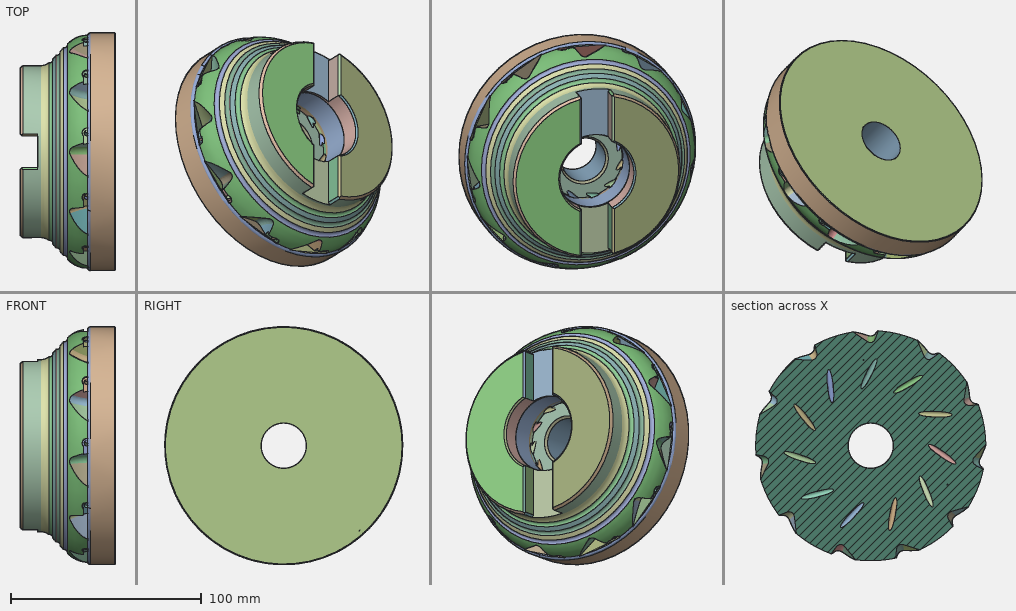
import cadquery as cq
import math

HEIGHT = 50.04
CUTTER_RADIUS = 62.5

HUB_RADIUS = 45.2
HUB_CHAMFER_LENGTH = 1.5
HUB_CHAMFER_DEPTH = 1.2
HUB_LENGTH = 11.0
FLARE_END_X = 15.1
FLARE_END_RADIUS = 46.7
FLARE_SAG = 0.35

GROOVE_COUNT = 3
GROOVE_LIP = 0.5
GROOVE_LENGTH = 1.5
GROOVE_RISE = 1.9
GROOVE_SAG = 0.55
LAND_LENGTH = 1.85
LAND_RISE = 2.05

SHOULDER_RADIUS = 61.3
SHOULDER_SAG = 1.15

RING_X = 35.4
RING_EDGE_LENGTH = 1.6
RING_FRONT_CHAMFER = 0.4

BORE_RADIUS = 20.0
BORE_CHAMFER = 0.9
BORE_RELIEF_X = 10.6
BORE_RELIEF_RADIUS = 20.15
BORE_FLARE_X = 24.2
BORE_FLARE_LENGTH = 1.8
BORE_END_RADIUS = 20.5
BORE_DEPTH = 28.0
THROUGH_RADIUS = 11.8
THROUGH_CHAMFER = 1.2

SLOT_WIDTH = 16.4
SLOT_DEPTH = 9.2
SLOT_CHAMFER = 1.1

POCKET_COUNT = 11
POCKET_PITCH = 360 / POCKET_COUNT
POCKET_TIP_X = 25.3
POCKET_ROOT_OFFSET = 1.1
POCKET_ROOT_HEIGHT = 56.7
POCKET_ROOT_FILLET = 2.7
POCKET_DIVE = 40.0
POCKET_PATH_RADIUS = 28.0
POCKET_WALL_LEAN = 23.0
POCKET_FLOOR_SLOPE = 30.0
POCKET_REACH = 20.0
POCKET_ROOF_HEIGHT = 60.5
POCKET_ROOF_ANGLE = 60.0

SEAT_X = 33.2
SEAT_OFFSET = 9.9
SEAT_INNER_OFFSET = 3.5
SEAT_FLOOR_HEIGHT = 59.2
SEAT_RELIEF_RADIUS = 2.5
SEAT_RELIEF_X = 35.1

COOLANT_RADIUS = 1.4
COOLANT_ENTRY_X = 27.2
COOLANT_ENTRY_ANGLE = -36.0
COOLANT_ENTRY_RADIUS = 20.0
COOLANT_OVERRUN = 8.0


def sagged_point(start, end, sag):
    """Point beside the middle of a chord; a positive sag lies on its left."""
    dx = end[0] - start[0]
    dy = end[1] - start[1]
    chord = math.hypot(dx, dy)
    middle_x = (start[0] + end[0]) / 2
    middle_y = (start[1] + end[1]) / 2
    return (middle_x - sag * dy / chord, middle_y + sag * dx / chord)


def arc_to(profile, start, end, sag):
    return profile.threePointArc(sagged_point(start, end, sag), end)


def make_body():
    """Solid of revolution: hub, grooved flare, rounded shoulder and cutting ring."""
    hub_end = (HUB_LENGTH, HUB_RADIUS)
    point = (FLARE_END_X, FLARE_END_RADIUS)
    profile = (
        cq.Workplane("XY")
        .moveTo(0, 0)
        .lineTo(0, HUB_RADIUS - HUB_CHAMFER_DEPTH)
        .lineTo(HUB_CHAMFER_LENGTH, HUB_RADIUS)
        .lineTo(*hub_end)
    )
    profile = arc_to(profile, hub_end, point, -FLARE_SAG)

    for index in range(GROOVE_COUNT):
        groove_start = (point[0] + GROOVE_LIP, point[1])
        groove_end = (groove_start[0] + GROOVE_LENGTH, groove_start[1] + GROOVE_RISE)
        profile = arc_to(profile.lineTo(*groove_start), groove_start, groove_end, -GROOVE_SAG)
        point = groove_end
        if index < GROOVE_COUNT - 1:
            point = (point[0] + LAND_LENGTH, point[1] + LAND_RISE)
            profile = profile.lineTo(*point)

    shoulder_end = (RING_X, SHOULDER_RADIUS)
    profile = arc_to(profile, point, shoulder_end, SHOULDER_SAG)

    rim_start = (RING_X + RING_EDGE_LENGTH, CUTTER_RADIUS)
    edge_rise = CUTTER_RADIUS - SHOULDER_RADIUS
    edge_chord = math.hypot(RING_EDGE_LENGTH, edge_rise)
    edge_sag = edge_chord / 2 * math.tan(math.atan2(edge_rise, RING_EDGE_LENGTH) / 2)
    profile = arc_to(profile, shoulder_end, rim_start, edge_sag)
    return (
        profile.lineTo(HEIGHT - RING_FRONT_CHAMFER, CUTTER_RADIUS)
        .lineTo(HEIGHT, CUTTER_RADIUS - RING_FRONT_CHAMFER)
        .lineTo(HEIGHT, 0)
        .close()
        .revolve(360, (0, 0, 0), (1, 0, 0))
    )


def make_bore():
    """Relieved bore with a chamfered mouth, stepping down to the through hole."""
    return (
        cq.Workplane("XY")
        .moveTo(0, 0)
        .lineTo(0, BORE_RADIUS + BORE_CHAMFER)
        .lineTo(BORE_CHAMFER, BORE_RADIUS)
        .lineTo(BORE_RELIEF_X, BORE_RADIUS)
        .lineTo(BORE_RELIEF_X, BORE_RELIEF_RADIUS)
        .lineTo(BORE_FLARE_X, BORE_RELIEF_RADIUS)
        .lineTo(BORE_FLARE_X + BORE_FLARE_LENGTH, BORE_END_RADIUS)
        .lineTo(BORE_DEPTH, BORE_END_RADIUS)
        .lineTo(BORE_DEPTH, THROUGH_RADIUS + THROUGH_CHAMFER)
        .lineTo(BORE_DEPTH + THROUGH_CHAMFER, THROUGH_RADIUS)
        .lineTo(HEIGHT, THROUGH_RADIUS)
        .lineTo(HEIGHT, 0)
        .close()
        .revolve(360, (0, 0, 0), (1, 0, 0))
    )


def make_slot():
    half_width = SLOT_WIDTH / 2
    return (
        cq.Workplane("XY")
        .moveTo(0, half_width + SLOT_CHAMFER)
        .lineTo(SLOT_CHAMFER, half_width)
        .lineTo(SLOT_DEPTH, half_width)
        .lineTo(SLOT_DEPTH, -half_width)
        .lineTo(SLOT_CHAMFER, -half_width)
        .lineTo(0, -half_width - SLOT_CHAMFER)
        .close()
        .extrude(CUTTER_RADIUS, both=True)
    )


def make_slot_mouth():
    """Bevels on the corners where the slot walls run out through the hub side."""
    half_width = SLOT_WIDTH / 2
    hub_corner_z = math.sqrt(HUB_RADIUS**2 - (half_width + SLOT_CHAMFER) ** 2)
    inner_z = hub_corner_z - SLOT_CHAMFER
    bevel_rise = CUTTER_RADIUS - inner_z
    mouth = (
        cq.Workplane("YZ")
        .moveTo(half_width, inner_z)
        .lineTo(half_width + bevel_rise, CUTTER_RADIUS)
        .lineTo(-half_width - bevel_rise, CUTTER_RADIUS)
        .lineTo(-half_width, inner_z)
        .close()
        .extrude(SLOT_DEPTH)
    )
    return mouth.union(mouth.mirror("XY"))


def make_chip_pocket():
    """V-shaped gullet swept along an arc that dives inward from the pocket tip.

    A steep wall stands towards +Y and a shallower floor runs towards -Y.
    """
    dive = math.radians(POCKET_DIVE)
    lean = math.radians(POCKET_WALL_LEAN)
    slope = math.radians(POCKET_FLOOR_SLOPE)
    lowest_x = POCKET_TIP_X + POCKET_PATH_RADIUS * math.sin(dive)
    lowest_z = POCKET_ROOT_HEIGHT - POCKET_PATH_RADIUS * (1 - math.cos(dive))
    root = (lowest_x, POCKET_ROOT_OFFSET, lowest_z)
    wall_top = (POCKET_REACH * math.sin(lean), POCKET_REACH * math.cos(lean))
    floor_end = (-POCKET_REACH * math.cos(slope), POCKET_REACH * math.sin(slope))
    root_circle_center = (lowest_x, POCKET_ROOT_OFFSET, lowest_z + POCKET_PATH_RADIUS)
    return (
        cq.Workplane("YZ", origin=root)
        .polyline([(0, 0), wall_top, (floor_end[0], wall_top[1]), floor_end])
        .close()
        .revolve(360, (0, POCKET_PATH_RADIUS, 0), (1, POCKET_PATH_RADIUS, 0))
        .edges(cq.NearestToPointSelector(root_circle_center))
        .fillet(POCKET_ROOT_FILLET)
    )


def make_insert_seat():
    """Flat-bottomed seat with a round corner relief, opening into the chip pocket."""
    relief = (
        cq.Workplane("XY", origin=(SEAT_RELIEF_X, SEAT_OFFSET, SEAT_FLOOR_HEIGHT))
        .circle(SEAT_RELIEF_RADIUS)
        .extrude(POCKET_REACH)
    )
    seat = (
        cq.Workplane("XY", origin=(SEAT_X, SEAT_INNER_OFFSET, SEAT_FLOOR_HEIGHT))
        .rect(POCKET_REACH, SEAT_OFFSET - SEAT_INNER_OFFSET, centered=False)
        .extrude(POCKET_REACH)
    )
    return seat.union(relief)


def make_roof_limit():
    """Space open outward behind the ring and closed by a sloping roof beneath it."""
    roof_end_x = RING_X + POCKET_ROOF_HEIGHT / math.tan(math.radians(POCKET_ROOF_ANGLE))
    top = CUTTER_RADIUS + POCKET_REACH
    return (
        cq.Workplane("XZ")
        .polyline([(0, 0), (0, top), (RING_X, top), (RING_X, POCKET_ROOF_HEIGHT), (roof_end_x, 0)])
        .close()
        .extrude(CUTTER_RADIUS, both=True)
    )


def make_coolant_hole():
    entry_angle = math.radians(COOLANT_ENTRY_ANGLE)
    entry = cq.Vector(
        COOLANT_ENTRY_X,
        COOLANT_ENTRY_RADIUS * math.sin(entry_angle),
        COOLANT_ENTRY_RADIUS * math.cos(entry_angle),
    )
    outlet = cq.Vector(SEAT_RELIEF_X, SEAT_OFFSET, SEAT_FLOOR_HEIGHT)
    path = outlet - entry
    start = entry - path.normalized() * COOLANT_OVERRUN
    length = path.Length + COOLANT_OVERRUN
    return cq.Workplane(cq.Solid.makeCylinder(COOLANT_RADIUS, length, start, path))


def make_tooth_cut():
    """Everything removed for one tooth: pocket, seat and coolant hole."""
    gullet = make_chip_pocket().union(make_insert_seat())
    return gullet.intersect(make_roof_limit()).union(make_coolant_hole())


result = make_body().cut(make_bore()).cut(make_slot()).cut(make_slot_mouth())
tooth_cut = make_tooth_cut()
for tooth in range(POCKET_COUNT):
    result = result.cut(tooth_cut.rotate((0, 0, 0), (1, 0, 0), tooth * POCKET_PITCH))